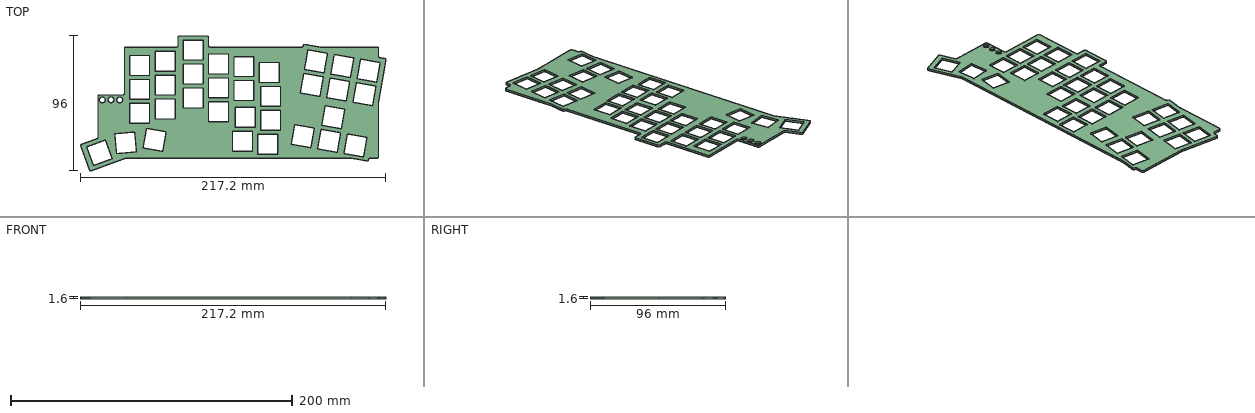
import cadquery as cq

THICKNESS = 1.6
CORNER_RADIUS = 1.0

KEY_HOLE = 14.0
ROW_PITCH = 17.0
SIDE_MARGIN = 10.92
END_MARGIN = 10.1

BODY_RIGHT = 103.2
BODY_TOP = 40.05
BODY_BOTTOM = -39.0

PINKY_COLUMN = (-66.65, 27.0)
RING_COLUMN = (-48.5, 30.0)
MIDDLE_COLUMN = (-28.5, 37.9)
INDEX_COLUMN = (-10.55, 28.05)
KEYS_PER_COLUMN = 3

INNER_COLUMN_PITCH = 18.0
INNER_X = 7.45
INNER_UPPER_Y = 26.15
LOWER_KEY_SHIFT = 1.0
INNER_GAP_PITCH = 19.0
OUTER_INNER_DROP = 4.14

THUMB_INNER = (-56.0, -25.9, -10.0)
THUMB_MIDDLE = (-76.6, -28.0, 5.0)
THUMB_OUTER = (-95.2, -35.1, 20.0)
THUMB_ARM_OVERLAP = 10.0

CLUSTER_X = 58.7
CLUSTER_Y = 29.9
CLUSTER_TILT = -10.0
CLUSTER_COLUMN_PITCH = 19.0
CLUSTER_COLUMNS = 3
CLUSTER_GAP_PITCH = 20.0
CLUSTER_TOP_MARGIN = 10.55
CLUSTER_BOTTOM_MARGIN = 9.5
CLUSTER_ARROW_Y = -ROW_PITCH - CLUSTER_GAP_PITCH
CLUSTER_BOTTOM_Y = CLUSTER_ARROW_Y - ROW_PITCH

TAB_LEFT = -96.3
TAB_TOP = 6.0
TAB_HOLE_DIAMETER = 4.0
TAB_HOLE_COUNT = 3
TAB_HOLE_PITCH = 6.2
TAB_HOLE_X = -93.2
TAB_HOLE_Y = 2.55


def tilted_frame(x, y, tilt):
    """Workplane on the underside, centred on (x, y) and turned by tilt degrees about Z."""
    return cq.Workplane("XY").transformed(offset=(x, y, 0), rotate=(0, 0, tilt))


def panel(frame, left, right, bottom, top):
    """Plate-thick rectangle, bounded in the coordinates of the frame."""
    middle = frame.center((left + right) / 2, (bottom + top) / 2)
    return middle.rect(right - left, top - bottom).extrude(THICKNESS)


def key_holes(frame, centres):
    """Square cutters at the given centres, turned with the frame."""
    return frame.pushPoints(centres).rect(KEY_HOLE, KEY_HOLE).extrude(THICKNESS)


def make_plate():
    """Join the main body, middle column bump, left tab, thumb arm and cluster, and round all corners."""
    body_left = PINKY_COLUMN[0] - SIDE_MARGIN
    bump_x, bump_key_y = MIDDLE_COLUMN
    level = cq.Workplane("XY")

    body = panel(level, body_left, BODY_RIGHT, BODY_BOTTOM, BODY_TOP)
    bump = panel(
        level, bump_x - SIDE_MARGIN, bump_x + SIDE_MARGIN, BODY_BOTTOM, bump_key_y + END_MARGIN
    )
    tab = panel(level, TAB_LEFT, PINKY_COLUMN[0], BODY_BOTTOM, TAB_TOP)
    thumb_arm = panel(
        tilted_frame(*THUMB_OUTER),
        -SIDE_MARGIN,
        SIDE_MARGIN + THUMB_ARM_OVERLAP,
        -END_MARGIN,
        END_MARGIN,
    )
    cluster = panel(
        tilted_frame(CLUSTER_X, CLUSTER_Y, CLUSTER_TILT),
        -SIDE_MARGIN,
        (CLUSTER_COLUMNS - 1) * CLUSTER_COLUMN_PITCH + SIDE_MARGIN,
        CLUSTER_BOTTOM_Y - CLUSTER_BOTTOM_MARGIN,
        CLUSTER_TOP_MARGIN,
    )
    outline = body.union(bump).union(tab).union(thumb_arm).union(cluster).clean()
    return outline.edges("|Z").fillet(CORNER_RADIUS)


def cut_column_keys(plate):
    """Cut the four straight columns of three keys."""
    centres = [
        (x, top_y - row * ROW_PITCH)
        for x, top_y in (PINKY_COLUMN, RING_COLUMN, MIDDLE_COLUMN, INDEX_COLUMN)
        for row in range(KEYS_PER_COLUMN)
    ]
    return plate.cut(key_holes(cq.Workplane("XY"), centres))


def cut_inner_keys(plate):
    """Cut the two staggered inner columns of four keys."""
    left_x = INNER_X
    right_x = INNER_X + INNER_COLUMN_PITCH
    left_y = INNER_UPPER_Y
    right_y = INNER_UPPER_Y - OUTER_INNER_DROP
    left_third_y = left_y - ROW_PITCH - INNER_GAP_PITCH
    right_third_y = right_y - 2 * ROW_PITCH
    centres = [
        (left_x, left_y),
        (left_x, left_y - ROW_PITCH),
        (left_x + LOWER_KEY_SHIFT, left_third_y),
        (left_x - LOWER_KEY_SHIFT, left_third_y - ROW_PITCH),
        (right_x, right_y),
        (right_x + LOWER_KEY_SHIFT, right_y - ROW_PITCH),
        (right_x + LOWER_KEY_SHIFT, right_third_y),
        (right_x - LOWER_KEY_SHIFT, right_third_y - ROW_PITCH),
    ]
    return plate.cut(key_holes(cq.Workplane("XY"), centres))


def cut_thumb_keys(plate):
    """Cut the three fanned thumb keys."""
    for placement in (THUMB_INNER, THUMB_MIDDLE, THUMB_OUTER):
        plate = plate.cut(key_holes(tilted_frame(*placement), [(0, 0)]))
    return plate


def cut_cluster_keys(plate):
    """Cut two rows of three keys, and below them an arrow group of one key over three."""
    centres = [
        (column * CLUSTER_COLUMN_PITCH, y)
        for y in (0, -ROW_PITCH, CLUSTER_BOTTOM_Y)
        for column in range(CLUSTER_COLUMNS)
    ]
    centres.append((CLUSTER_COLUMN_PITCH, CLUSTER_ARROW_Y))
    frame = tilted_frame(CLUSTER_X, CLUSTER_Y, CLUSTER_TILT)
    return plate.cut(key_holes(frame, centres))


def cut_tab_holes(plate):
    """Cut the row of round through holes along the top of the tab."""
    centres = [(TAB_HOLE_X + i * TAB_HOLE_PITCH, TAB_HOLE_Y) for i in range(TAB_HOLE_COUNT)]
    drills = cq.Workplane("XY").pushPoints(centres).circle(TAB_HOLE_DIAMETER / 2).extrude(THICKNESS)
    return plate.cut(drills)


result = make_plate()
result = cut_column_keys(result)
result = cut_inner_keys(result)
result = cut_thumb_keys(result)
result = cut_cluster_keys(result)
result = cut_tab_holes(result)